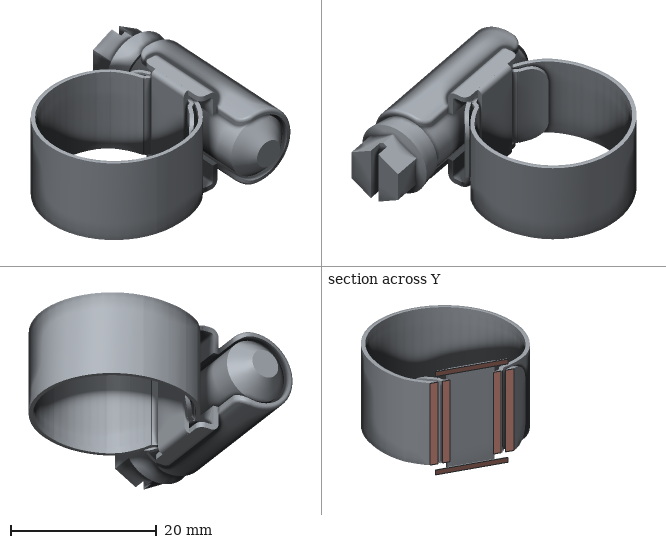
import cadquery as cq
import math


BAND_RADIUS = 11.47
BAND_THICKNESS = 0.6
BAND_WIDTH = 12.68
TAIL_CORNER_RADIUS = 3.0
UPPER_LAP_RADIUS = 12.18
MIDDLE_LAP_RADIUS = 11.55
INNER_TAIL_RADIUS = 10.95
UPPER_TAIL_ANGLE = 135.0
INNER_TAIL_ANGLE = 40.0

AXIS_Y = 16.4
HEAD_END_X = -19.05
TIP_X = 13.45
SHAFT_RADIUS = 4.62
TIP_RADIUS = 2.1
HEX_FLATS = 7.95
SLOT_WIDTH = 1.28
SLOT_DEPTH = 2.02
COLLAR_RIM_X = -14.47
COLLAR_RIM_RADIUS = 5.5
COLLAR_END_RADIUS = 5.03
COLLAR_BACK_X = -14.95

HOUSING_LEFT_X = -11.37
HOUSING_RIGHT_X = 11.47
HOUSING_BACK_Y = 22.25
HOUSING_RADIUS = HOUSING_BACK_Y - AXIS_Y
SHEET = 0.8
BORE_RADIUS = HOUSING_RADIUS - SHEET
ARCH_CORNER_RADIUS = 1.85
ARCH_EDGE_FILLET = 0.47
SADDLE_LENGTH = 12.0
SADDLE_HEIGHT = 16.0
SADDLE_BACK_Y = 13.5
SADDLE_BEND_RADIUS = 1.2
CHEEK_FRONT_Y = 10.4
CHEEK_CORNER_RADIUS = 1.0
TONGUE_LENGTH = 6.88
TONGUE_FRONT_Y = 9.6
TONGUE_THICKNESS = 0.7
TONGUE_BEND_RADIUS = 0.85


def polar(radius, angle):
    return (radius * math.cos(math.radians(angle)), radius * math.sin(math.radians(angle)))


def extrude_band(outline):
    return outline.close().extrude(BAND_WIDTH / 2, both=True)


def curved_strip(start, end):
    """Band stretch between two stations, each given as its outer radius and its angle."""
    start_radius, start_angle = start
    end_radius, end_angle = end
    mid_radius = (start_radius + end_radius) / 2
    mid_angle = (start_angle + end_angle) / 2
    return extrude_band(
        cq.Workplane("XY")
        .moveTo(*polar(start_radius, start_angle))
        .threePointArc(polar(mid_radius, mid_angle), polar(end_radius, end_angle))
        .lineTo(*polar(end_radius - BAND_THICKNESS, end_angle))
        .threePointArc(
            polar(mid_radius - BAND_THICKNESS, mid_angle),
            polar(start_radius - BAND_THICKNESS, start_angle),
        )
    )


def straight_strip(start, end):
    """Flat band stretch joining two stations, its midline running between theirs."""
    half_thickness = BAND_THICKNESS / 2
    start_x, start_y = polar(start[0] - half_thickness, start[1])
    end_x, end_y = polar(end[0] - half_thickness, end[1])
    length = math.hypot(end_x - start_x, end_y - start_y)
    side_x = (start_y - end_y) * half_thickness / length
    side_y = (end_x - start_x) * half_thickness / length
    return extrude_band(
        cq.Workplane("XY")
        .moveTo(start_x + side_x, start_y + side_y)
        .lineTo(end_x + side_x, end_y + side_y)
        .lineTo(end_x - side_x, end_y - side_y)
        .lineTo(start_x - side_x, start_y - side_y)
    )


def round_tail(strip, end_face):
    """Round the two corners at the free end of a band tail."""
    return strip.faces(end_face).edges("#Z").fillet(TAIL_CORNER_RADIUS)


def make_band():
    joggle_start = (10.9, -243.2)
    middle_start = (MIDDLE_LAP_RADIUS, -247.5)
    middle_end = (MIDDLE_LAP_RADIUS, -292.5)
    inner_tail_start = (INNER_TAIL_RADIUS, -296.5)
    ring_stations = [
        (UPPER_LAP_RADIUS, 42.0),
        (11.85, 27.0),
        (11.55, 10.0),
        (BAND_RADIUS, -10.0),
        (BAND_RADIUS, -90.0),
        (BAND_RADIUS, -165.0),
        (11.8, -208.0),
        (11.75, -218.0),
        (11.5, -225.0),
        joggle_start,
    ]

    upper_tail = curved_strip((UPPER_LAP_RADIUS, UPPER_TAIL_ANGLE), ring_stations[0])
    inner_tail = curved_strip(inner_tail_start, (INNER_TAIL_RADIUS, INNER_TAIL_ANGLE - 360))
    band = round_tail(upper_tail, "<X")
    for start, end in zip(ring_stations, ring_stations[1:]):
        band = band.union(curved_strip(start, end))
    band = band.union(straight_strip(joggle_start, middle_start))
    band = band.union(curved_strip(middle_start, middle_end))
    band = band.union(straight_strip(middle_end, inner_tail_start))
    return band.union(round_tail(inner_tail, ">X"))


def make_screw():
    profile = (
        cq.Workplane("XY")
        .moveTo(COLLAR_BACK_X, 0)
        .lineTo(COLLAR_BACK_X, HEX_FLATS / 2)
        .lineTo(COLLAR_RIM_X, COLLAR_RIM_RADIUS)
        .lineTo(HOUSING_LEFT_X, COLLAR_END_RADIUS)
        .lineTo(HOUSING_LEFT_X, SHAFT_RADIUS)
        .lineTo(TIP_X - (SHAFT_RADIUS - TIP_RADIUS), SHAFT_RADIUS)
        .lineTo(TIP_X, TIP_RADIUS)
        .lineTo(TIP_X, 0)
        .close()
    )
    turned = profile.revolve(360, (0, 0), (1, 0)).translate((0, AXIS_Y, 0))
    hexagon = (
        cq.Workplane("YZ", origin=(HEAD_END_X, AXIS_Y, 0))
        .polygon(6, HEX_FLATS, circumscribed=True)
        .extrude(COLLAR_RIM_X - HEAD_END_X)
    )
    slot = cq.Workplane("XY").box(2 * SLOT_DEPTH, SLOT_WIDTH, 2 * HEX_FLATS)
    return turned.union(hexagon).cut(slot.translate((HEAD_END_X, AXIS_Y, 0)))


def cylinder_on_axis(radius, start_x, end_x):
    """Solid cylinder along the screw axis."""
    return cq.Workplane("YZ", origin=(start_x, AXIS_Y, 0)).circle(radius).extrude(end_x - start_x)


def block(length, front_y, back_y, height):
    """Block centred on x = 0 and z = 0 between two Y positions."""
    depth = back_y - front_y
    return cq.Workplane("XY").box(length, depth, height).translate((0, front_y + depth / 2, 0))


def make_arch():
    """Solid arch over the screw, with rounded lower corners and edges, before it is bored."""
    length = HOUSING_RIGHT_X - HOUSING_LEFT_X
    outline = (
        block(length, SADDLE_BACK_Y, HOUSING_BACK_Y + HOUSING_RADIUS, 2 * HOUSING_RADIUS)
        .translate(((HOUSING_LEFT_X + HOUSING_RIGHT_X) / 2, 0, 0))
        .edges("|Z and <Y")
        .fillet(ARCH_CORNER_RADIUS)
    )
    arch = cylinder_on_axis(HOUSING_RADIUS, HOUSING_LEFT_X, HOUSING_RIGHT_X).intersect(outline)
    return arch.faces(">Y").edges().fillet(ARCH_EDGE_FILLET)


def make_saddle():
    """Bent strap that joins the arch sides and loops round the band laps."""
    cheeks = (
        block(SADDLE_LENGTH, CHEEK_FRONT_Y, SADDLE_BACK_Y, SADDLE_HEIGHT)
        .edges("|X and >Y")
        .fillet(SADDLE_BEND_RADIUS)
        .edges("|Z and <Y")
        .fillet(CHEEK_CORNER_RADIUS)
    )
    tongue = (
        block(TONGUE_LENGTH, TONGUE_FRONT_Y, SADDLE_BACK_Y - SADDLE_BEND_RADIUS, SADDLE_HEIGHT)
        .edges("|X and <Y")
        .fillet(TONGUE_BEND_RADIUS)
    )
    tongue_back_y = TONGUE_FRONT_Y + TONGUE_THICKNESS
    window_height = SADDLE_HEIGHT - 2 * SHEET
    window = (
        block(SADDLE_LENGTH, tongue_back_y, SADDLE_BACK_Y - SHEET, window_height)
        .edges("|X and >Y")
        .fillet(SADDLE_BEND_RADIUS - SHEET)
    )
    arch_feet = cylinder_on_axis(HOUSING_RADIUS, -SADDLE_LENGTH / 2, SADDLE_LENGTH / 2).intersect(
        block(SADDLE_LENGTH, SADDLE_BACK_Y - SHEET, SADDLE_BACK_Y + ARCH_EDGE_FILLET, SADDLE_HEIGHT)
    )
    opening_height = 2 * math.sqrt(BORE_RADIUS**2 - (AXIS_Y - SADDLE_BACK_Y) ** 2)
    opening = block(SADDLE_LENGTH, tongue_back_y, SADDLE_BACK_Y, opening_height)
    return arch_feet.union(cheeks.union(tongue).cut(window)).cut(opening)


def make_housing():
    bore = cylinder_on_axis(BORE_RADIUS, HOUSING_LEFT_X, HOUSING_RIGHT_X)
    return make_arch().union(make_saddle()).cut(bore)


screw = make_screw()
housing = make_housing()
band = make_band().cut(screw)

result = cq.Compound.makeCompound(
    [*band.solids().vals(), *screw.solids().vals(), *housing.solids().vals()]
)